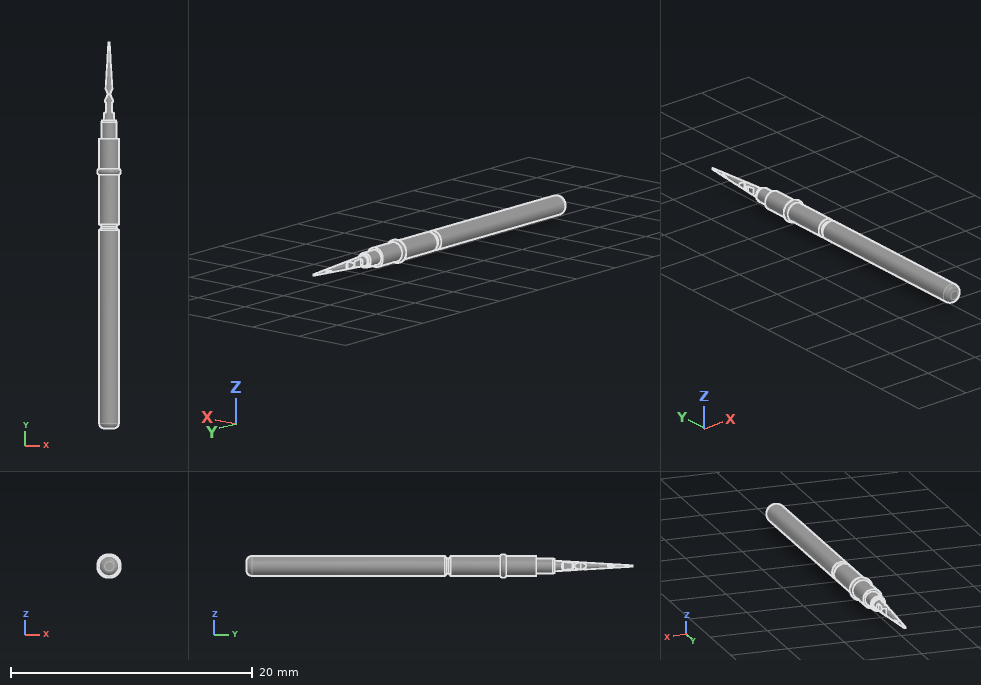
import cadquery as cq

length = 32.0
body_radius = 0.83
end_round = 0.45
shoulder_y = 24.03

groove_start = 16.45
groove_end = 16.93
groove_wall = 0.15
groove_radius = 0.65

collar_y = 21.28
collar_radius = 1.0
collar_width = 0.58
bead_radius = collar_width / 2
bead_centre = collar_radius - bead_radius

neck_radius = 0.65
neck_end = 25.57
neck_chamfer = 0.2
neck_chamfer_depth = 0.05

needle_base_radius = 0.45
tip_radius = 0.05

notch_reach = 0.65
mouth_clearance = 0.015
deep_notch_start = 3.8
deep_notch_bottom = 4.3
deep_notch_end = 4.85
deep_notch_web = 0.1
flat_start = 4.85
flat_end = 5.9
flat_slope = 0.13
flat_web = 0.25
relief_start = 1.47
relief_end = 2.5
relief_web = 0.13


def needle_radius(behind_tip):
    """Radius of the uncut needle at a distance behind its tip."""
    taper = (needle_base_radius - tip_radius) / (length - neck_end)
    return tip_radius + taper * behind_tip


def turned_pin():
    """Body, waist groove, neck and needle as one revolved profile."""
    profile = (
        cq.Workplane("XY")
        .lineTo(body_radius - end_round, 0)
        .radiusArc((body_radius, end_round), -end_round)
        .lineTo(body_radius, groove_start)
        .lineTo(groove_radius, groove_start + groove_wall)
        .lineTo(groove_radius, groove_end - groove_wall)
        .lineTo(body_radius, groove_end)
        .lineTo(body_radius, shoulder_y)
        .lineTo(neck_radius, shoulder_y)
        .lineTo(neck_radius, neck_end - neck_chamfer)
        .lineTo(neck_radius - neck_chamfer_depth, neck_end)
        .lineTo(needle_base_radius, neck_end)
        .lineTo(tip_radius, length)
        .lineTo(0, length)
        .close()
    )
    return profile.revolve(360, (0, 0), (0, 1))


def collar():
    """Ring with a half-round rim."""
    profile = (
        cq.Workplane("XY")
        .moveTo(0, collar_y - bead_radius)
        .lineTo(bead_centre, collar_y - bead_radius)
        .threePointArc((collar_radius, collar_y), (bead_centre, collar_y + bead_radius))
        .lineTo(0, collar_y + bead_radius)
        .close()
    )
    return profile.revolve(360, (0, 0), (0, 1))


def notch_pair(start, end, floor):
    """Matching cutters on the +X and -X sides, with the floor given as (distance, half width)."""
    start_mouth = (start, needle_radius(start) + mouth_clearance)
    end_mouth = (end, needle_radius(end) + mouth_clearance)
    inner = [start_mouth] + floor + [end_mouth]
    outline = [(notch_reach, length - start)]
    outline += [(half_width, length - behind_tip) for behind_tip, half_width in inner]
    outline += [(notch_reach, length - end)]
    cutter = cq.Workplane("XY").polyline(outline).close().extrude(notch_reach, both=True)
    return cutter.union(cutter.mirror("YZ"))


deep_notches = notch_pair(
    deep_notch_start, deep_notch_end, [(deep_notch_bottom, deep_notch_web)]
)
side_flats = notch_pair(
    flat_start, flat_end, [(flat_start + flat_slope, flat_web), (flat_end - flat_slope, flat_web)]
)
tip_reliefs = notch_pair(relief_start, relief_end, [(relief_start, relief_web)])

result = turned_pin().union(collar()).rotate((0, 0, 0), (0, 1, 0), -90)
result = result.cut(deep_notches).cut(side_flats).cut(tip_reliefs)